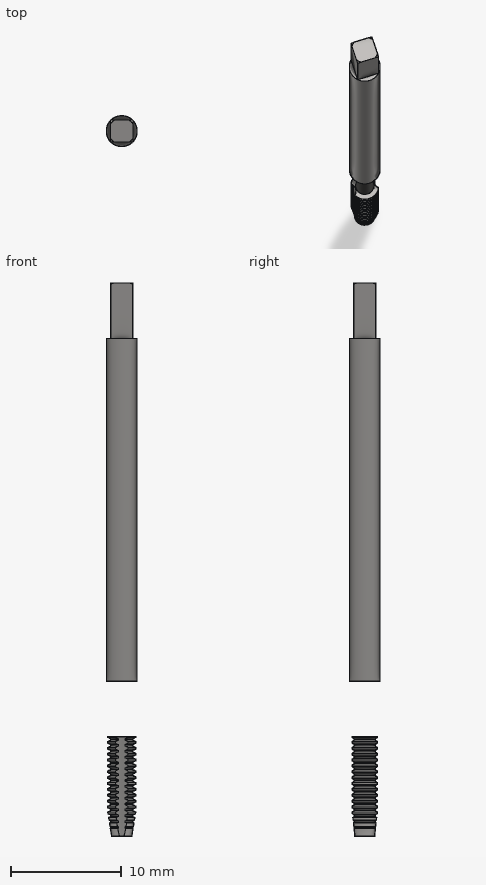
import cadquery as cq
import math

total_length = 50.0
square_length = 5.0
shank_bottom = 14.0
thread_length = 9.0

shank_diameter = 2.8
square_side = 2.0
square_chamfer_height = 0.1
square_chamfer_inset = 0.2

crest_diameter = 2.55
root_diameter = 2.0
tip_diameter = 1.85
taper_length = 2.2
bore_diameter = 1.65

first_groove_height = 0.8
last_groove_height = 8.75
groove_count = 16
flank_angle = 50.0
groove_floor_width = 0.125

flute_radius = 0.7
flute_floor_wall = 0.05


def make_shank():
    """Round shank with a corner-trimmed driving square on its upper end."""
    square_bottom = total_length - square_length
    shank_radius = shank_diameter / 2
    envelope = (
        cq.Workplane("XZ")
        .moveTo(0, shank_bottom)
        .lineTo(shank_radius, shank_bottom)
        .lineTo(shank_radius, total_length - square_chamfer_height)
        .lineTo(shank_radius - square_chamfer_inset, total_length)
        .lineTo(0, total_length)
        .close()
        .revolve(360, (0, 0, 0), (0, 1, 0))
    )
    square = (
        cq.Workplane("XY")
        .workplane(offset=square_bottom)
        .rect(square_side, square_side)
        .extrude(square_length)
    )
    round_length = square_bottom - shank_bottom
    round_part = (
        cq.Workplane("XY")
        .workplane(offset=shank_bottom)
        .circle(shank_radius)
        .extrude(round_length)
    )
    return round_part.union(envelope.intersect(square))


def make_thread_blank():
    """Hollow cylinder with a conical taper toward its lower tip."""
    return (
        cq.Workplane("XZ")
        .moveTo(bore_diameter / 2, 0)
        .lineTo(tip_diameter / 2, 0)
        .lineTo(crest_diameter / 2, taper_length)
        .lineTo(crest_diameter / 2, thread_length)
        .lineTo(bore_diameter / 2, thread_length)
        .close()
        .revolve(360, (0, 0, 0), (0, 1, 0))
    )


def make_groove(height):
    """Ring with a narrow flat floor at the thread root, opening outward past the crest."""
    root_radius = root_diameter / 2
    outer_radius = shank_diameter / 2
    floor_half_width = groove_floor_width / 2
    flank_rise = (outer_radius - root_radius) * math.tan(math.radians(flank_angle / 2))
    mouth_half_width = floor_half_width + flank_rise
    return (
        cq.Workplane("XZ")
        .moveTo(root_radius, height - floor_half_width)
        .lineTo(outer_radius, height - mouth_half_width)
        .lineTo(outer_radius, height + mouth_half_width)
        .lineTo(root_radius, height + floor_half_width)
        .close()
        .revolve(360, (0, 0, 0), (0, 1, 0))
    )


def make_flute(side):
    """Round cutter running the full thread length; side is -1 for -Y and +1 for +Y."""
    center_distance = bore_diameter / 2 + flute_floor_wall + flute_radius
    return (
        cq.Workplane("XY")
        .center(0, side * center_distance)
        .circle(flute_radius)
        .extrude(thread_length)
    )


def make_threaded_end():
    """Fluted thread section with evenly spaced ring grooves."""
    body = make_thread_blank()
    groove_pitch = (last_groove_height - first_groove_height) / (groove_count - 1)
    for index in range(groove_count):
        body = body.cut(make_groove(first_groove_height + index * groove_pitch))
    for side in (-1, 1):
        body = body.cut(make_flute(side))
    return body


shank = make_shank()
threaded_end = make_threaded_end()

result = cq.Compound.makeCompound([shank.val(), threaded_end.val()])